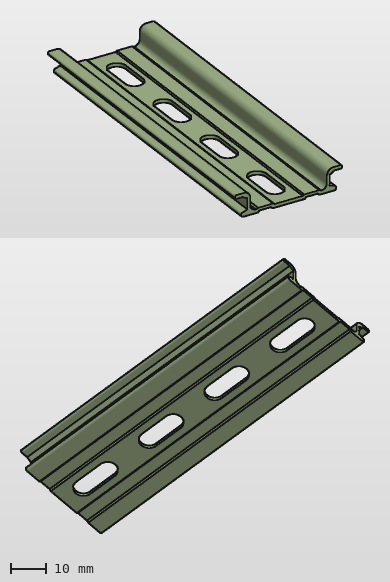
import cadquery as cq
import math

length = 100.0
width = 35.1
height = 7.5

wall_inner = 12.5
wall_thickness = 1.0
wall_outer = wall_inner + wall_thickness
bend_radius = 2.2
root_radius = 1.8
lip_thickness = 1.2
lip_tip_radius = lip_thickness / 2
lip_gusset_width = 1.5
lip_gusset_height = 0.9

foot_half_width = 15.6
foot_edge_height = 1.5
foot_wall_height = 2.0
foot_tip_radius = foot_edge_height / 2

floor_thickness = 1.2
band_rise = 0.3
recess_depth = 0.5
band_inner = 5.1
band_outer = 10.0
bevel_run = 0.5
recess_inner = 5.3
recess_outer = 10.0

slot_count = 4
slot_pitch = 25.0
slot_length = 15.0
slot_width = 5.8
slot_row_offset = 0.4


def half_profile():
    """Cross-section on the positive Y side, closed along the centre plane."""
    half_width = width / 2
    lip_bottom = height - lip_thickness
    tip_center = half_width - lip_tip_radius
    foot_center = foot_half_width - foot_tip_radius
    bend_diagonal = bend_radius * math.sqrt(0.5)
    bend_y = wall_inner + bend_radius
    bend_z = height - bend_radius
    root_y = wall_inner - root_radius
    root_z = floor_thickness + root_radius
    root_diagonal = root_radius * math.sqrt(0.5)
    return (
        cq.Workplane("YZ", origin=(-length / 2, 0, 0))
        .moveTo(0, 0)
        .lineTo(recess_inner, 0)
        .lineTo(recess_inner + bevel_run, recess_depth)
        .lineTo(recess_outer - bevel_run, recess_depth)
        .lineTo(recess_outer, 0)
        .lineTo(foot_center, 0)
        .threePointArc((foot_half_width, foot_tip_radius), (foot_center, foot_edge_height))
        .lineTo(wall_outer, foot_wall_height)
        .lineTo(wall_outer, lip_bottom - lip_gusset_height)
        .lineTo(wall_outer + lip_gusset_width, lip_bottom)
        .lineTo(tip_center, lip_bottom)
        .threePointArc((half_width, height - lip_tip_radius), (tip_center, height))
        .lineTo(bend_y, height)
        .threePointArc((bend_y - bend_diagonal, bend_z + bend_diagonal), (wall_inner, bend_z))
        .lineTo(wall_inner, root_z)
        .threePointArc((root_y + root_diagonal, root_z - root_diagonal), (root_y, floor_thickness))
        .lineTo(band_outer, floor_thickness + band_rise)
        .lineTo(band_inner, floor_thickness + band_rise)
        .lineTo(band_inner - bevel_run, floor_thickness)
        .lineTo(0, floor_thickness)
        .close()
    )


def mounting_slots():
    return (
        cq.Workplane("XY", origin=(slot_row_offset, 0, 0))
        .rarray(slot_pitch, 1, slot_count, 1)
        .slot2D(slot_length, slot_width)
        .extrude(floor_thickness)
    )


half_rail = half_profile().extrude(length)
rail = half_rail.union(half_rail.mirror("XZ")).clean()
result = rail.cut(mounting_slots())